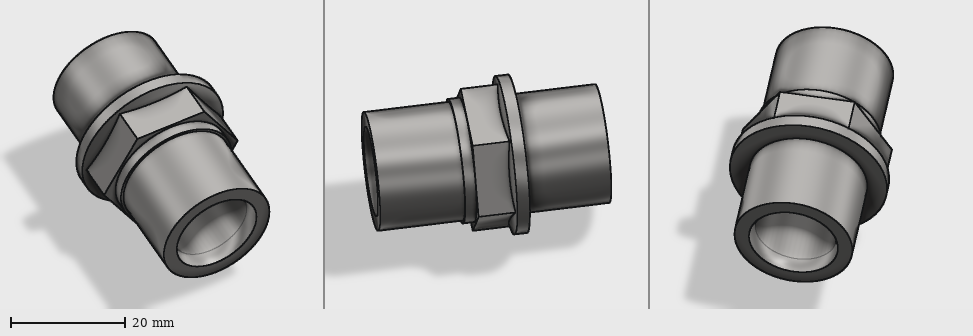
import cadquery as cq
import math

length = 41.0
tube_diameter = 21.0
tube_length = 15.0

flange_diameter = 28.0
flange_thickness = 3.0
flange_cone_length = 0.75

hex_sides = 6
hex_across_flats = 23.0
collar_diameter = 22.0
collar_length = 2.0

bore_diameter = 14.5
mouth_radius = 5.0
mouth_depth = 2.5

left_end = -length / 2
flange_start = left_end + tube_length
flange_end = flange_start + flange_thickness
collar_end = length / 2 - tube_length
hex_end = collar_end - collar_length


def cylinder(diameter, x_start, x_end):
    """Solid cylinder on the X axis between two stations."""
    return cq.Workplane("YZ", origin=(x_start, 0, 0)).circle(diameter / 2).extrude(x_end - x_start)


def make_flange():
    """Round flange whose hex side tapers down to the hex flats."""
    rim_radius = flange_diameter / 2
    return (
        cq.Workplane("XY")
        .moveTo(flange_start, 0)
        .lineTo(flange_start, rim_radius)
        .lineTo(flange_end - flange_cone_length, rim_radius)
        .lineTo(flange_end, hex_across_flats / 2)
        .lineTo(flange_end, 0)
        .close()
        .revolve(360, (0, 0, 0), (1, 0, 0))
    )


def make_hex():
    """Wrench hexagon with corners on +Y and -Y, starting at the flange face."""
    across_corners = hex_across_flats / math.cos(math.pi / hex_sides)
    return (
        cq.Workplane("YZ", origin=(flange_start, 0, 0))
        .polygon(hex_sides, across_corners)
        .extrude(hex_end - flange_start)
    )


def make_bore():
    """Through bore with a rounded entry at both ends, tangent to the bore wall."""
    bore_radius = bore_diameter / 2

    def entry_radius(distance_from_bore):
        rise = mouth_radius - math.sqrt(mouth_radius**2 - distance_from_bore**2)
        return bore_radius + rise

    end = length / 2
    entry_start = end - mouth_depth
    entry_middle = end - mouth_depth / 2
    return (
        cq.Workplane("XY")
        .moveTo(-end, 0)
        .lineTo(-end, entry_radius(mouth_depth))
        .threePointArc((-entry_middle, entry_radius(mouth_depth / 2)), (-entry_start, bore_radius))
        .lineTo(entry_start, bore_radius)
        .threePointArc((entry_middle, entry_radius(mouth_depth / 2)), (end, entry_radius(mouth_depth)))
        .lineTo(end, 0)
        .close()
        .revolve(360, (0, 0, 0), (1, 0, 0))
    )


tube = cylinder(tube_diameter, left_end, length / 2)
collar = cylinder(collar_diameter, flange_start, collar_end)

result = tube.union(collar).union(make_flange()).union(make_hex()).cut(make_bore())